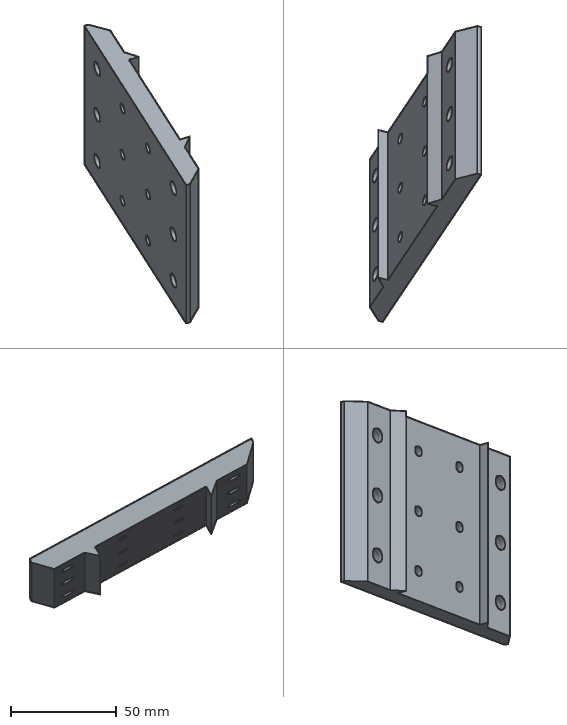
import cadquery as cq

length = 120.0
height = 90.0
total_depth = 15.0
ridge_depth = 5.0
plate_depth = total_depth - ridge_depth
edge_depth = 2.0
bevel = plate_depth - edge_depth

ridge_inner_x = 30.0
ridge_width = 5.8

hole_pitch = 30.0
small_hole_diameter = 4.9
large_hole_diameter = 7.0
inner_column_x = hole_pitch / 2
outer_column_x = inner_column_x + hole_pitch

front_y = -total_depth / 2
back_y = front_y + plate_depth
ridge_tip_y = total_depth / 2


def extrude_profile(points):
    """Extrude an XY outline over the full height, centred on Z = 0."""
    profile = cq.Workplane("XY").workplane(offset=-height / 2)
    return profile.polyline(points).close().extrude(height)


def make_plate():
    half = length / 2
    edge_y = front_y + edge_depth
    return extrude_profile([
        (-half, front_y),
        (half, front_y),
        (half, edge_y),
        (half - bevel, back_y),
        (-half + bevel, back_y),
        (-half, edge_y),
    ])


def make_ridge(side):
    """Wedge ridge on the +X (side = 1) or -X (side = -1) half."""
    return extrude_profile([
        (side * ridge_inner_x, front_y),
        (side * ridge_inner_x, ridge_tip_y),
        (side * (ridge_inner_x + ridge_width), back_y),
        (side * (ridge_inner_x + ridge_width), front_y),
    ])


def make_holes(column_x, diameter):
    """Two mirrored columns of three holes, running along Y."""
    centres = [
        (side * column_x, row * hole_pitch)
        for side in (-1, 1)
        for row in (-1, 0, 1)
    ]
    holes = cq.Workplane("XZ").pushPoints(centres).circle(diameter / 2)
    return holes.extrude(total_depth, both=True)


result = make_plate()
for ridge_side in (-1, 1):
    result = result.union(make_ridge(ridge_side))
result = result.cut(make_holes(inner_column_x, small_hole_diameter))
result = result.cut(make_holes(outer_column_x, large_hole_diameter))